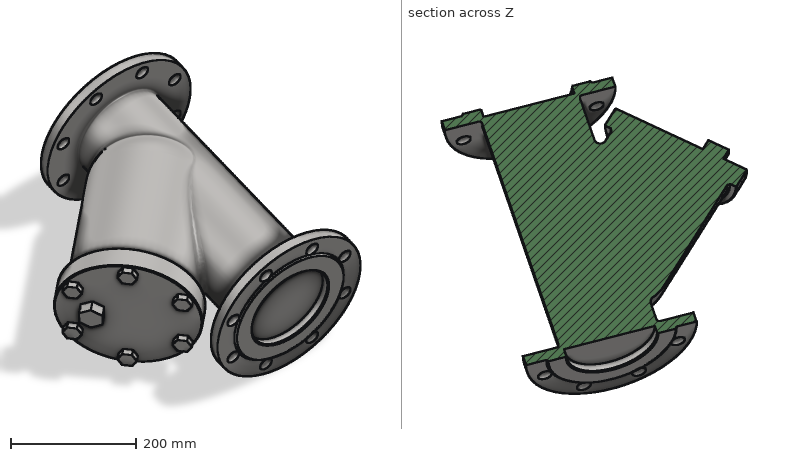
import cadquery as cq
import math

LENGTH = 480.0
PIPE_R = 82.0
FLANGE_R = 142.5
FLANGE_T = 18.0
FLANGE_FILLET = 4.5
FACE_R = 109.0
FACE_T = 3.5
FACE_CHAMFER = 3.0
BORE_R = 75.5
BORE_DEPTH = 14.5
BORE_CHAMFER = 2.0
HOLE_COUNT = 8
HOLE_D = 23.0
HOLE_CIRCLE_R = 120.0

BRANCH_ANGLE = -45.0
BRANCH_ORIGIN_X = -120.0
BRANCH_R = 105.5
DOME_START = 51.0
DOME_R = 67.0
JOINT_FILLET = 9.0

COVER_R = 120.0
COVER_T = 37.0
COVER_TOP = 305.0
COVER_CHAMFER = 1.5
NECK_FILLET = 3.0
BOLT_COUNT = 6
BOLT_CIRCLE_R = 102.5
BOLT_FLATS = 27.5
BOLT_HEIGHT = 11.0
PLUG_FLATS = 38.0
PLUG_HEIGHT = 18.5
PLUG_OFFSET = 57.5

COVER_BASE = COVER_TOP - COVER_T
FLANGE_OUTER_X = LENGTH / 2 - FACE_T
FLANGE_INNER_X = FLANGE_OUTER_X - FLANGE_T

angle = math.radians(BRANCH_ANGLE)
branch_plane = cq.Plane(
    origin=(BRANCH_ORIGIN_X, 0, 0),
    xDir=(-math.sin(angle), math.cos(angle), 0),
    normal=(math.cos(angle), math.sin(angle), 0),
)


def make_branch():
    """Round branch body whose buried end is rounded off inside the pipe."""
    return (
        cq.Workplane(branch_plane)
        .workplane(offset=DOME_START - DOME_R)
        .circle(BRANCH_R)
        .extrude(COVER_BASE - DOME_START + DOME_R)
        .faces(cq.selectors.DirectionMinMaxSelector(branch_plane.zDir, False))
        .edges()
        .fillet(DOME_R)
    )


def make_body():
    """Pipe and branch with a rounded joint between them."""
    pipe = cq.Workplane("YZ").circle(PIPE_R).extrude(FLANGE_INNER_X, both=True)
    return pipe.union(make_branch()).edges("%BSPLINE").fillet(JOINT_FILLET)


def make_flange():
    """Flange at the +X end: fillet to the pipe, raised face, blind recess and bolt holes."""
    end_x = LENGTH / 2
    floor_x = end_x - BORE_DEPTH
    flange = (
        cq.Workplane("XY")
        .moveTo(FLANGE_INNER_X - FLANGE_FILLET, 0)
        .lineTo(FLANGE_INNER_X - FLANGE_FILLET, PIPE_R)
        .radiusArc((FLANGE_INNER_X, PIPE_R + FLANGE_FILLET), -FLANGE_FILLET)
        .lineTo(FLANGE_INNER_X, FLANGE_R)
        .lineTo(FLANGE_OUTER_X, FLANGE_R)
        .lineTo(FLANGE_OUTER_X, FACE_R)
        .lineTo(end_x, FACE_R - FACE_CHAMFER)
        .lineTo(end_x, BORE_R + BORE_CHAMFER)
        .lineTo(end_x - BORE_CHAMFER, BORE_R)
        .lineTo(floor_x, BORE_R)
        .lineTo(floor_x, 0)
        .close()
        .revolve(360, (0, 0), (1, 0))
    )
    holes = (
        cq.Workplane("YZ")
        .workplane(offset=FLANGE_INNER_X)
        .polarArray(HOLE_CIRCLE_R, 180 / HOLE_COUNT, 360, HOLE_COUNT)
        .circle(HOLE_D / 2)
        .extrude(FLANGE_T + FACE_T)
    )
    return flange.cut(holes)


def hex_head(position, angle_to_corner, flats, height):
    """Hexagonal head standing on the cover at an in-plane position."""
    corner_circle_d = flats / math.cos(math.pi / 6)
    return (
        cq.Workplane(branch_plane)
        .workplane(offset=COVER_TOP)
        .center(*position)
        .transformed(rotate=(0, 0, angle_to_corner))
        .polygon(6, corner_circle_d)
        .extrude(height)
    )


def make_cover():
    """Cover disc with a fillet to the branch, a ring of bolts and an off-centre plug."""
    section_plane = cq.Plane(origin=branch_plane.origin, xDir=branch_plane.xDir, normal=(0, 0, -1))
    cover = (
        cq.Workplane(section_plane)
        .moveTo(0, COVER_BASE - NECK_FILLET)
        .lineTo(BRANCH_R, COVER_BASE - NECK_FILLET)
        .radiusArc((BRANCH_R + NECK_FILLET, COVER_BASE), -NECK_FILLET)
        .lineTo(COVER_R - COVER_CHAMFER, COVER_BASE)
        .lineTo(COVER_R, COVER_BASE + COVER_CHAMFER)
        .lineTo(COVER_R, COVER_TOP - COVER_CHAMFER)
        .lineTo(COVER_R - COVER_CHAMFER, COVER_TOP)
        .lineTo(0, COVER_TOP)
        .close()
        .revolve(360, (0, 0), (0, 1))
    )
    for i in range(BOLT_COUNT):
        bolt_angle = math.radians(90 + i * 360 / BOLT_COUNT)
        position = (BOLT_CIRCLE_R * math.cos(bolt_angle), BOLT_CIRCLE_R * math.sin(bolt_angle))
        cover = cover.union(hex_head(position, 0, BOLT_FLATS, BOLT_HEIGHT))
    return cover.union(hex_head((-PLUG_OFFSET, 0), 90, PLUG_FLATS, PLUG_HEIGHT))


flange = make_flange()
result = make_body().union(flange).union(flange.mirror("YZ")).union(make_cover())